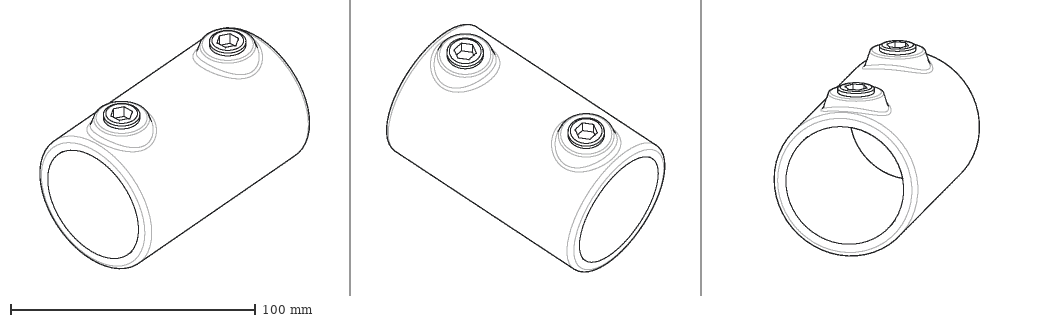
import cadquery as cq
import math

sleeve_length = 100.0
sleeve_radius = 30.5
bore_radius = 25.0
end_round = 2.0

boss_top_z = 35.0
boss_top_radius = 11.2
boss_draft_angle = 18.0
boss_top_round = 1.0
boss_base_round = 2.0
boss_end_distance = 17.5
boss_y = sleeve_length / 2 - boss_end_distance
position_tolerance = 0.01

screw_radius = 7.5
screw_top_z = 37.1
screw_bottom_z = bore_radius
screw_chamfer_height = 0.6
screw_chamfer_width = 1.0
socket_across_flats = 8.0
socket_depth = 5.0


def y_cylinder(radius):
    """Cylinder along Y, as long as the sleeve."""
    return cq.Workplane("XZ").circle(radius).extrude(sleeve_length / 2, both=True)


def make_boss(y):
    """Cone rising from the level of the bore top, widening downwards, with a rounded top rim."""
    bottom_z = bore_radius
    bottom_radius = boss_top_radius + (boss_top_z - bottom_z) * math.tan(math.radians(boss_draft_angle))
    return (
        cq.Workplane("XY", origin=(0, y, bottom_z))
        .circle(bottom_radius)
        .workplane(offset=boss_top_z - bottom_z)
        .circle(boss_top_radius)
        .loft()
        .faces(">Z")
        .edges()
        .fillet(boss_top_round)
    )


def boss_base_edges(body, y):
    """Edges where the boss at y meets the outside of the sleeve."""
    reach = 2 * boss_top_radius
    low = (-reach, y - reach, 0)
    high = (reach, y + reach, sleeve_radius)
    on_sleeve = []
    for edge in body.edges(cq.selectors.BoxSelector(low, high)).vals():
        middle = edge.positionAt(0.5)
        radius = math.hypot(middle.x, middle.z)
        if edge.geomType() not in ("LINE", "CIRCLE") and abs(radius - sleeve_radius) < position_tolerance:
            on_sleeve.append(edge)
    return on_sleeve


def make_housing():
    """Sleeve with both bosses, its bore and the holes for the screws."""
    body = y_cylinder(sleeve_radius).faces("<Y or >Y").edges().fillet(end_round)
    for y in (-boss_y, boss_y):
        body = body.union(make_boss(y))
    for y in (-boss_y, boss_y):
        body = body.newObject(boss_base_edges(body, y)).fillet(boss_base_round)
    body = body.cut(y_cylinder(bore_radius))
    for y in (-boss_y, boss_y):
        hole = cq.Workplane("XY", origin=(0, y, 0)).circle(screw_radius).extrude(boss_top_z)
        body = body.cut(hole)
    return body


def make_screw(y):
    """Set screw standing proud of its boss, with a chamfered rim and a hexagonal socket."""
    socket_across_corners = socket_across_flats / math.cos(math.pi / 6)
    return (
        cq.Workplane("XY", origin=(0, y, screw_bottom_z))
        .circle(screw_radius)
        .extrude(screw_top_z - screw_bottom_z)
        .faces(">Z")
        .edges()
        .chamfer(screw_chamfer_height, screw_chamfer_width)
        .faces(">Z")
        .workplane()
        .polygon(6, socket_across_corners)
        .cutBlind(-socket_depth)
    )


housing = make_housing()
screws = []
for screw_y in (-boss_y, boss_y):
    screws.append(make_screw(screw_y).val())

result = cq.Compound.makeCompound([housing.val(), *screws])